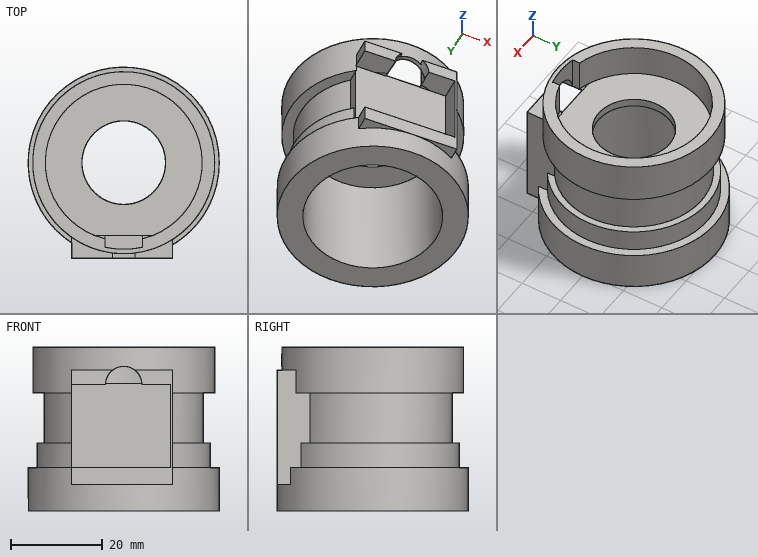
import cadquery as cq

height = 36.0
base_diameter = 42.0
base_top = 9.58
step_diameter = 38.1
step_top = 15.0
neck_diameter = 35.0
collar_diameter = 40.0
collar_bottom = 26.0

recess_diameter = 34.45
recess_depth = 8.0
recess_floor = height - recess_depth
web_thickness = 2.0
through_diameter = 18.3
cavity_diameter = 30.7
cavity_depth = recess_floor - web_thickness

block_left = -11.42
block_right = 10.75
block_front = -base_diameter / 2
block_bottom = 5.9
block_top = 30.95

pocket_floor = -16.05
pocket_right = 10.3
pocket_top = 27.8

window_radius = 4.0
notch_width = 8.15
notch_diameter = 38.0


def cylinder(diameter, bottom, top):
    return cq.Workplane("XY").workplane(offset=bottom).circle(diameter / 2).extrude(top - bottom)


def box(x_min, x_max, y_min, y_max, z_min, z_max):
    size = (x_max - x_min, y_max - y_min, z_max - z_min)
    return cq.Workplane("XY").box(*size, centered=False).translate((x_min, y_min, z_min))


def round_body():
    body = cylinder(base_diameter, 0, base_top)
    body = body.union(cylinder(step_diameter, base_top, step_top))
    body = body.union(cylinder(neck_diameter, step_top, collar_bottom))
    return body.union(cylinder(collar_diameter, collar_bottom, height))


def axial_openings():
    openings = cylinder(cavity_diameter, 0, cavity_depth)
    openings = openings.union(cylinder(through_diameter, 0, height))
    return openings.union(cylinder(recess_diameter, recess_floor, height))


def window():
    return (
        cq.Workplane("XZ", origin=(0, pocket_floor, pocket_top))
        .circle(window_radius)
        .extrude(pocket_floor - block_front)
    )


def collar_notch():
    slot = box(-notch_width / 2, notch_width / 2, block_front, pocket_floor, pocket_top, height)
    return slot.intersect(cylinder(notch_diameter, pocket_top, height))


block = box(block_left, block_right, block_front, 0, block_bottom, block_top)
pocket = box(block_left, pocket_right, block_front, pocket_floor, base_top, pocket_top)

result = (
    round_body()
    .union(block)
    .cut(axial_openings())
    .cut(pocket)
    .cut(window())
    .cut(collar_notch())
)